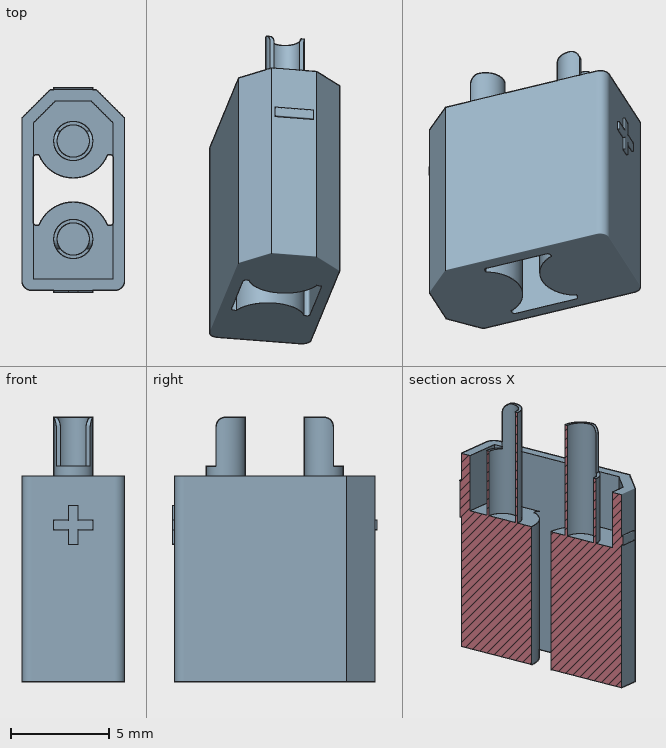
import cadquery as cq

body_width = 5.25
body_length = 10.25
body_height = 10.5
wall = 0.6
corner_chamfer = 1.46
corner_radius = 0.5
edge_fillet = 0.02

floor_height = 7.5
contact_spacing = 5.0
carrier_radius = 1.89
ledge_offset = 0.7
gap_corner_fillet = 0.15

total_height = 13.5
cup_diameter = 2.0
cup_bore = 1.65
cup_bottom = floor_height
notch_offset = 0.5
notch_rounding = 0.5
cup_lip_height = 0.5
notch_bottom = body_height + cup_lip_height

overall_length = 10.45
mark_length = 2.0
mark_thickness = 0.5
mark_relief = (overall_length - body_length) / 2
mark_drop = 2.5
mark_height = body_height - mark_drop


def housing_outline(inset, chamfer):
    """Rectangle with its two +Y corners cut at 45 degrees, inset from the outer faces."""
    half_width = body_width / 2 - inset
    half_length = body_length / 2 - inset
    return cq.Workplane("XY").polyline(
        [
            (-half_width, -half_length),
            (half_width, -half_length),
            (half_width, half_length - chamfer),
            (half_width - chamfer, half_length),
            (chamfer - half_width, half_length),
            (-half_width, half_length - chamfer),
        ]
    ).close()


def make_cavity(height):
    """Inside of the shell, from Z = 0 up to the given height."""
    cavity_chamfer = corner_chamfer - wall * (2 - 2**0.5)
    return housing_outline(wall, cavity_chamfer).extrude(height)


def make_shell():
    """Open tube with rounded -Y corners and softly broken outer rims."""
    outer = housing_outline(0, corner_chamfer).extrude(body_height)
    outer = outer.edges("|Z and <Y").fillet(corner_radius)
    outer = outer.faces("<Z or >Z").edges().fillet(edge_fillet)
    return outer.cut(make_cavity(body_height))


def make_carriers():
    """Two blocks with round noses that face each other across an open gap."""
    gap_width = body_width - 2 * wall
    gap_length = contact_spacing - 2 * ledge_offset
    gap = cq.Workplane("XY").rect(gap_width, gap_length).extrude(floor_height)
    gap = gap.edges("|Z").fillet(gap_corner_fillet)
    carriers = make_cavity(floor_height).cut(gap)
    for side in (-1, 1):
        nose = cq.Workplane("XY").center(0, side * contact_spacing / 2)
        carriers = carriers.union(nose.circle(carrier_radius).extrude(floor_height))
    return carriers


def make_contact(side):
    """Solder cup with its outward wall cut away; side is +1 or -1 along Y."""
    cup = cq.Workplane("XY").circle(cup_diameter / 2).extrude(total_height)
    bore = cq.Workplane("XY").workplane(offset=cup_bottom).circle(cup_bore / 2)
    cup = cup.cut(bore.extrude(total_height - cup_bottom))
    notch = (
        cq.Workplane("YZ")
        .moveTo(side * notch_offset, notch_bottom)
        .lineTo(side * notch_offset, total_height - notch_rounding)
        .radiusArc((side * (notch_offset - notch_rounding), total_height), -side * notch_rounding)
        .lineTo(side * cup_diameter, total_height)
        .lineTo(side * cup_diameter, notch_bottom)
        .close()
        .extrude(cup_diameter, both=True)
    )
    return cup.cut(notch).translate((0, side * contact_spacing / 2, 0))


def make_mark(side, bar_sizes):
    """Raised mark of crossed bars on an end face, rooted inside the wall."""
    depth = mark_relief + wall / 2
    centre_y = side * (overall_length / 2 - depth / 2)
    mark = cq.Workplane("XY")
    for width, height in bar_sizes:
        mark = mark.union(cq.Workplane("XY").box(width, depth, height))
    outer_face = ">Y" if side > 0 else "<Y"
    mark = mark.faces(outer_face).edges().fillet(edge_fillet)
    return mark.translate((0, centre_y, mark_height))


level_bar = (mark_length, mark_thickness)
upright_bar = (mark_thickness, mark_length)

result = make_shell().union(make_carriers())
for side in (-1, 1):
    result = result.union(make_contact(side))
result = result.union(make_mark(1, [level_bar]))
result = result.union(make_mark(-1, [level_bar, upright_bar]))